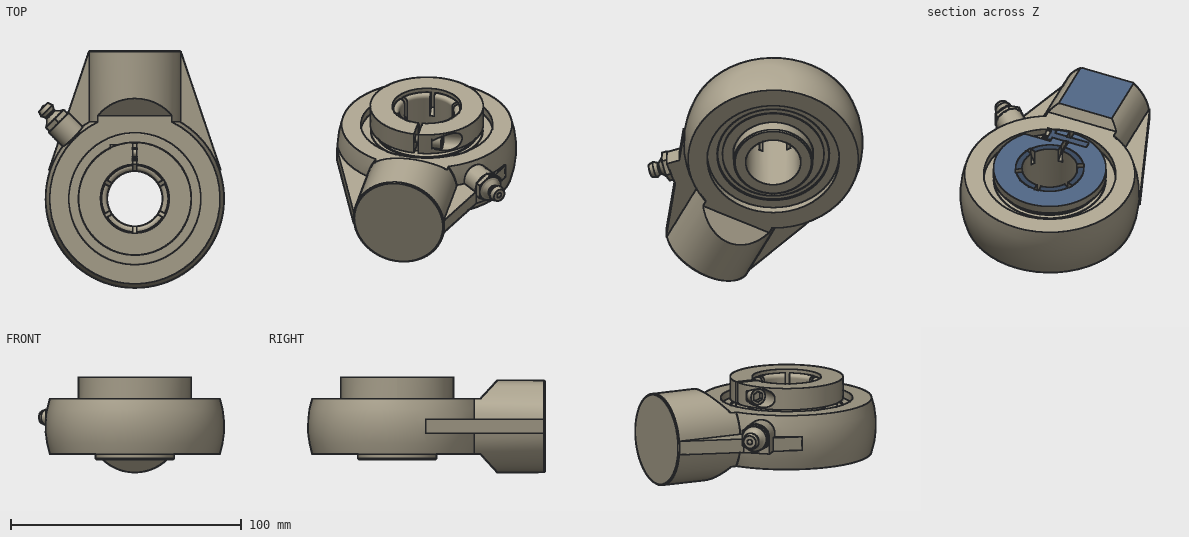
import cadquery as cq
import math

SPHERE_RADIUS = 38.8
HOUSING_HEIGHT = 24.0
HALF_HEIGHT = HOUSING_HEIGHT / 2
OVERALL_LENGTH = 102.8
SEAT_DIAMETER = 57.2

SHANK_DIAMETER = 40.0
SHANK_RADIUS = SHANK_DIAMETER / 2
SHANK_END = OVERALL_LENGTH - SPHERE_RADIUS
SHANK_START = 33.4
SHANK_CHAMFER = 0.5
SHOULDER_LOW_Y = 36.0
SHOULDER_HIGH_Y = 43.4

WEB_THICKNESS = 6.0
WEB_FOOT_X = 37.2
WEB_FOOT_Y = 12.4

NIPPLE_ANGLE = 135
NIPPLE_Z = 3.9
NIPPLE_BOSS_RADIUS = 6.1
NIPPLE_BOSS_END = 46.6

NIPPLE_HEX_FLATS = 11.0
NIPPLE_HEX_THICKNESS = 2.5
NIPPLE_SHOULDER_RADIUS = 5.4
NIPPLE_CONE_RADIUS = 4.3
NIPPLE_CONE_START = 3.1
NIPPLE_NECK_RADIUS = 2.6
NIPPLE_NECK_START = 4.8
NIPPLE_NECK_END = 5.5
NIPPLE_HEAD_DIAMETER = 7.0
NIPPLE_HEAD_AT = 7.3
NIPPLE_TIP_RADIUS = 2.8
NIPPLE_LENGTH = 9.5
NIPPLE_BALL_RADIUS = 1.1
NIPPLE_BALL_HEIGHT = 0.4

RACE_HALF_WIDTH = 8.7
RACE_INNER_DIAMETER = 48.1
RACE_FILLET = 0.6
RACE_CHAMFER = 0.3

SEAL_THICKNESS = 1.5
SEAL_BORE = 34.7
SEAL_STEP_DIAMETER = 44.0
SEAL_STEP = 0.5

BORE_DIAMETER = 23.8
INNER_RING_DIAMETER = 34.2
INNER_RING_BOTTOM = -14.4
INNER_RING_CHAMFER = 0.6
SLEEVE_DIAMETER = 29.8
SLEEVE_TOP = 19.7
SLEEVE_CHAMFER = 0.5
SLEEVE_BORE_FILLET = 1.9
SLOT_WIDTH = 1.9
SLOT_COUNT = 6
SLOT_FLOOR_DROP = 2.6

COLLAR_DIAMETER = 48.9
COLLAR_TOP = 21.3
COLLAR_BOTTOM = 11.8

SCREW_Y = 19.8
SCREW_Z = 16.4
SCREW_SHANK_DIAMETER = 3.3
SCREW_HEAD_DIAMETER = 7.0
SCREW_HEAD_END = -10.7
SCREW_HEAD_LENGTH = 4.0
SCREW_TIP = 9.3
COUNTERBORE_DIAMETER = 8.0
SOCKET_FLATS = 4.1
SOCKET_DEPTH = 2.1


def cylinder(diameter, bottom, top):
    """Cylinder on the Z axis between two heights."""
    return cq.Workplane("XY").workplane(offset=bottom).circle(diameter / 2).extrude(top - bottom)


def ring(outer_diameter, inner_diameter, bottom, top):
    """Ring on the Z axis between two heights."""
    return cylinder(outer_diameter, bottom, top).cut(cylinder(inner_diameter, bottom, top))


def x_cylinder(diameter, start, end):
    """Cylinder on the screw axis between two X positions."""
    plane = cq.Workplane("YZ", origin=(start, SCREW_Y, SCREW_Z))
    return plane.circle(diameter / 2).extrude(end - start)


def on_nipple_axis(body):
    """Turn a body built along +X at the origin onto the nipple axis."""
    return body.rotate((0, 0, 0), (0, 0, 1), NIPPLE_ANGLE).translate((0, 0, NIPPLE_Z))


def make_hanger_shank():
    shank = (
        cq.Workplane("XZ", origin=(0, SHANK_END, 0))
        .circle(SHANK_RADIUS)
        .extrude(SHANK_END - SHANK_START)
        .faces(">Y")
        .chamfer(SHANK_CHAMFER)
    )
    side_outline = (
        cq.Workplane("YZ")
        .moveTo(SHANK_START, -HALF_HEIGHT)
        .lineTo(SHOULDER_LOW_Y, -HALF_HEIGHT)
        .lineTo(SHOULDER_HIGH_Y, -SHANK_RADIUS)
        .lineTo(SHANK_END, -SHANK_RADIUS)
        .lineTo(SHANK_END, SHANK_RADIUS)
        .lineTo(SHOULDER_HIGH_Y, SHANK_RADIUS)
        .lineTo(SHOULDER_LOW_Y, HALF_HEIGHT)
        .lineTo(SHANK_START, HALF_HEIGHT)
        .close()
        .extrude(SHANK_RADIUS, both=True)
    )
    core_half_width = math.sqrt(SHANK_RADIUS**2 - HALF_HEIGHT**2)
    core = cq.Workplane("XY").box(
        2 * core_half_width, SHANK_START, HOUSING_HEIGHT, centered=(True, False, True)
    )
    return shank.intersect(side_outline).union(core)


def make_web():
    web_top = SHANK_END - SHANK_CHAMFER
    outline = [
        (-SHANK_RADIUS, web_top),
        (SHANK_RADIUS, web_top),
        (WEB_FOOT_X, WEB_FOOT_Y),
        (-WEB_FOOT_X, WEB_FOOT_Y),
    ]
    return cq.Workplane("XY").polyline(outline).close().extrude(WEB_THICKNESS / 2, both=True)


def make_nipple_boss():
    """Round-topped boss whose straight sides run down to the underside of the web."""
    depth = NIPPLE_Z + WEB_THICKNESS / 2
    boss = (
        cq.Workplane("YZ")
        .moveTo(-NIPPLE_BOSS_RADIUS, -depth)
        .lineTo(NIPPLE_BOSS_RADIUS, -depth)
        .lineTo(NIPPLE_BOSS_RADIUS, 0)
        .threePointArc((0, NIPPLE_BOSS_RADIUS), (-NIPPLE_BOSS_RADIUS, 0))
        .close()
        .extrude(NIPPLE_BOSS_END)
    )
    return on_nipple_axis(boss)


def make_housing():
    slice_block = cq.Workplane("XY").box(3 * SPHERE_RADIUS, 3 * SPHERE_RADIUS, HOUSING_HEIGHT)
    body = cq.Workplane("XY").sphere(SPHERE_RADIUS).intersect(slice_block)
    body = body.union(make_hanger_shank()).union(make_web()).union(make_nipple_boss())
    return body.cut(cylinder(SEAT_DIAMETER, -HALF_HEIGHT, HALF_HEIGHT))


def make_grease_nipple():
    hexagon = (
        cq.Workplane("YZ")
        .polygon(6, NIPPLE_HEX_FLATS, circumscribed=True)
        .extrude(NIPPLE_HEX_THICKNESS)
    )
    ball_curvature = (NIPPLE_BALL_RADIUS**2 + NIPPLE_BALL_HEIGHT**2) / (2 * NIPPLE_BALL_HEIGHT)
    head = (
        cq.Workplane("XY")
        .moveTo(0, 0)
        .lineTo(0, NIPPLE_SHOULDER_RADIUS)
        .lineTo(NIPPLE_HEX_THICKNESS, NIPPLE_SHOULDER_RADIUS)
        .lineTo(NIPPLE_CONE_START, NIPPLE_CONE_RADIUS)
        .lineTo(NIPPLE_NECK_START, NIPPLE_NECK_RADIUS)
        .lineTo(NIPPLE_NECK_END, NIPPLE_NECK_RADIUS)
        .lineTo(NIPPLE_HEAD_AT, NIPPLE_HEAD_DIAMETER / 2)
        .lineTo(NIPPLE_LENGTH, NIPPLE_TIP_RADIUS)
        .lineTo(NIPPLE_LENGTH, NIPPLE_BALL_RADIUS)
        .radiusArc((NIPPLE_LENGTH + NIPPLE_BALL_HEIGHT, 0), ball_curvature)
        .close()
        .revolve(360, (0, 0, 0), (1, 0, 0))
    )
    nipple = hexagon.union(head)
    return on_nipple_axis(nipple.translate((NIPPLE_BOSS_END, 0, 0)))


def make_outer_ring():
    race = ring(SEAT_DIAMETER, RACE_INNER_DIAMETER, -RACE_HALF_WIDTH, RACE_HALF_WIDTH)
    race = race.faces("|Z").edges(cq.selectors.RadiusNthSelector(1)).fillet(RACE_FILLET)
    return race.faces("|Z").edges(cq.selectors.RadiusNthSelector(0)).chamfer(RACE_CHAMFER)


def make_seal():
    """Upper seal: a stepped ring whose outer part lies below its inner part."""
    bottom = RACE_HALF_WIDTH - SEAL_THICKNESS
    inner_part = ring(SEAL_STEP_DIAMETER, SEAL_BORE, bottom, RACE_HALF_WIDTH)
    outer_part = ring(RACE_INNER_DIAMETER, SEAL_BORE, bottom, RACE_HALF_WIDTH - SEAL_STEP)
    return outer_part.union(inner_part)


def make_sleeve_slot():
    """Slot along +X whose floor slopes down towards the bore."""
    inner = BORE_DIAMETER / 2
    outer = SLEEVE_DIAMETER / 2
    slope = SLOT_FLOOR_DROP / (outer - inner)
    start = inner - SLOT_WIDTH
    start_z = COLLAR_BOTTOM - slope * (outer - start)
    outline = [(start, start_z), (outer, COLLAR_BOTTOM), (outer, SLEEVE_TOP), (start, SLEEVE_TOP)]
    return cq.Workplane("XZ").polyline(outline).close().extrude(SLOT_WIDTH / 2, both=True)


def make_inner_ring():
    shoulder = cylinder(INNER_RING_DIAMETER, INNER_RING_BOTTOM, COLLAR_BOTTOM)
    shoulder = shoulder.faces("|Z").edges().chamfer(INNER_RING_CHAMFER)
    sleeve = cylinder(SLEEVE_DIAMETER, COLLAR_BOTTOM, SLEEVE_TOP).faces(">Z").chamfer(SLEEVE_CHAMFER)
    body = shoulder.union(sleeve).cut(cylinder(BORE_DIAMETER, INNER_RING_BOTTOM, SLEEVE_TOP))
    mouth_edge = body.faces(">Z").edges(cq.selectors.RadiusNthSelector(0))
    body = mouth_edge.fillet(SLEEVE_BORE_FILLET)
    slot = make_sleeve_slot()
    for index in range(SLOT_COUNT):
        angle = 90 + index * 360 / SLOT_COUNT
        body = body.cut(slot.rotate((0, 0, 0), (0, 0, 1), angle))
    return body


def make_collar():
    collar = ring(COLLAR_DIAMETER, SLEEVE_DIAMETER, COLLAR_BOTTOM, COLLAR_TOP)
    slit = (
        cq.Workplane("XY", origin=(0, 0, COLLAR_BOTTOM))
        .rect(SLOT_WIDTH, COLLAR_DIAMETER)
        .extrude(COLLAR_TOP - COLLAR_BOTTOM)
        .translate((0, COLLAR_DIAMETER / 2, 0))
    )
    counterbore_floor = SCREW_HEAD_END + SCREW_HEAD_LENGTH
    counterbore = x_cylinder(COUNTERBORE_DIAMETER, -COLLAR_DIAMETER / 2, counterbore_floor)
    shank_hole = x_cylinder(SCREW_SHANK_DIAMETER, SCREW_HEAD_END, SCREW_TIP)
    return collar.cut(slit).cut(counterbore).cut(shank_hole)


def make_screw():
    head = x_cylinder(SCREW_HEAD_DIAMETER, SCREW_HEAD_END, SCREW_HEAD_END + SCREW_HEAD_LENGTH)
    shank = x_cylinder(SCREW_SHANK_DIAMETER, SCREW_HEAD_END, SCREW_TIP)
    socket = (
        cq.Workplane("YZ", origin=(SCREW_HEAD_END, SCREW_Y, SCREW_Z))
        .polygon(6, SOCKET_FLATS, circumscribed=True)
        .extrude(SOCKET_DEPTH)
    )
    return head.union(shank).cut(socket)


housing = make_housing()
grease_nipple = make_grease_nipple()
outer_ring = make_outer_ring()
upper_seal = make_seal()
inner_ring = make_inner_ring()
collar = make_collar()
screw = make_screw()

seals = [upper_seal, upper_seal.mirror("XY")]

result = cq.Compound.makeCompound(
    [
        housing.val(),
        grease_nipple.val(),
        outer_ring.val(),
        *[seal.val() for seal in seals],
        inner_ring.val(),
        collar.val(),
        screw.val(),
    ]
)